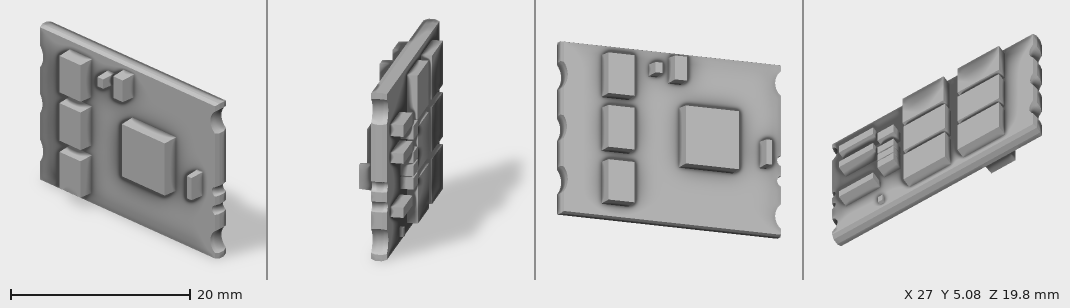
import cadquery as cq
import math

board_length = 27.0
board_height = 19.8
board_thickness = 1.8
bevel_inset = 0.15
bevel_depth = 0.55
board_face = board_thickness / 2
band_face = board_face - bevel_depth
left_edge = -board_length / 2
right_edge = board_length / 2

left_notch_radius = 2.27
outer_left_notch_depth = 0.65
middle_left_notch_depth = 0.55
left_notch_spacing = 6.02
large_right_notch_radius = 1.75
large_right_notch_depth = 0.86
large_right_notch_height = 7.65
small_right_notch_radius = 0.62
small_right_notch_heights = (-1.22, -3.56)

front_height = 1.8
front_draft_inset = 0.08
chip_height = 1.25
capacitor_height = 1.48
pad_height = 0.49

memory_x = (-8.75, -5.4)
memory_rows = ((3.83, 8.67), (-2.35, 2.62), (-8.42, -3.62))
front_parts = [(*memory_x, *row) for row in memory_rows]
front_parts += [
    (-2.97, -1.95, 6.8, 8.15),
    (-0.57, 1.03, 6.25, 9.15),
    (0.75, 7.42, -3.3, 3.55),
    (10.65, 11.5, -2.35, 0.65),
]

outer_chip_x = (-9.6, -4.08)
top_inner_chip_x = (-2.27, 3.2)
lower_inner_chip_x = (-2.45, 3.08)
top_chip_row = (3.6, 8.75)
lower_chip_rows = ((-2.55, 2.67), (-8.7, -3.43))
chips = [(*outer_chip_x, *top_chip_row), (*top_inner_chip_x, *top_chip_row)]
for row in lower_chip_rows:
    chips.append((*outer_chip_x, *row))
    chips.append((*lower_inner_chip_x, *row))

narrow_capacitor_x = (4.25, 6.37)
wide_capacitor_x = (6.95, 11.5)
narrow_capacitor_rows = ((2.27, 3.85), (-0.49, 0.78), (-2.05, -0.78), (-3.62, -2.27))
wide_capacitor_rows = ((4.25, 5.62), (1.08, 2.27), (-5.3, -4.1))
capacitors = [(*narrow_capacitor_x, *row) for row in narrow_capacitor_rows]
capacitors += [(*wide_capacitor_x, *row) for row in wide_capacitor_rows]

pad = (narrow_capacitor_x[1], wide_capacitor_x[0], -9.1, -8.02)


def block(bounds, base_y, height, inset=0.0):
    """Rectangular block rising from base_y toward -Y, each side drawn in by inset at its end."""
    x_min, x_max, z_min, z_max = bounds
    draft = math.degrees(math.atan2(inset, height))
    return (
        cq.Workplane("XZ", origin=(0, base_y, 0))
        .center((x_min + x_max) / 2, (z_min + z_max) / 2)
        .rect(x_max - x_min, z_max - z_min)
        .extrude(height, taper=draft)
    )


def back_block(bounds, height):
    """Straight block standing on the back face."""
    return block(bounds, board_face + height, height)


def notch(x, z, radius):
    """Round cutter through the full board thickness."""
    return (
        cq.Workplane("XZ", origin=(0, board_face, 0))
        .center(x, z)
        .circle(radius)
        .extrude(board_thickness)
    )


def bevelled_board():
    outline = (left_edge, right_edge, -board_height / 2, board_height / 2)
    middle_band = block(outline, band_face, 2 * band_face)
    front_bevel = block(outline, -band_face, bevel_depth, bevel_inset)
    return middle_band.union(front_bevel).union(front_bevel.mirror("XZ"))


def cut_notches(board):
    left_notches = (
        (left_notch_spacing, outer_left_notch_depth),
        (0.0, middle_left_notch_depth),
        (-left_notch_spacing, outer_left_notch_depth),
    )
    for z, depth in left_notches:
        board = board.cut(notch(left_edge + depth - left_notch_radius, z, left_notch_radius))
    large_notch_x = right_edge - large_right_notch_depth + large_right_notch_radius
    for z in (large_right_notch_height, -large_right_notch_height):
        board = board.cut(notch(large_notch_x, z, large_right_notch_radius))
    for z in small_right_notch_heights:
        board = board.cut(notch(right_edge, z, small_right_notch_radius))
    return board


result = cut_notches(bevelled_board())
for bounds in front_parts:
    result = result.union(block(bounds, -board_face, front_height, front_draft_inset))
for bounds in chips:
    result = result.union(back_block(bounds, chip_height))
for bounds in capacitors:
    result = result.union(back_block(bounds, capacitor_height))
result = result.union(back_block(pad, pad_height))